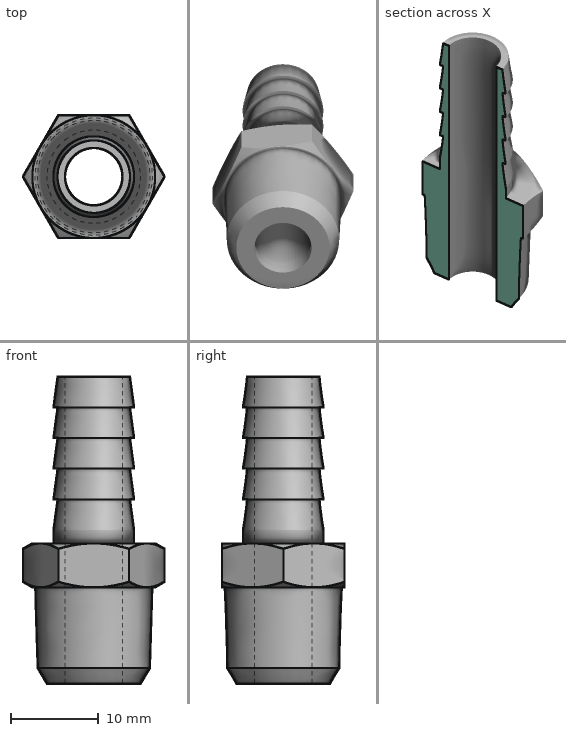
import cadquery as cq
import math

total_height = 35.0
lead_in_height = 1.82
hex_bottom = 11.0
hex_height = 5.0
barb_count = 5
barb_pitch = 3.5
hex_top = hex_bottom + hex_height
barbs_bottom = total_height - barb_count * barb_pitch

bore_diameter = 6.5
barb_large_diameter = 9.2
barb_small_diameter = 8.25
taper_top_diameter = 13.37
taper_bottom_diameter = 12.8
lead_in_diameter = 10.65

across_flats = 14.0
across_corners = across_flats / math.cos(math.radians(30))
corner_chamfer_angle = 30.0
corner_chamfer_width = (across_corners - across_flats) / 2
corner_chamfer_height = corner_chamfer_width * math.tan(math.radians(corner_chamfer_angle))


def revolve_profile(points):
    """Revolve a closed (radius, height) outline about the Z axis."""
    return cq.Workplane("XZ").polyline(points).close().revolve(360, (0, 0), (0, 1))


def tapered_end():
    """Tapered lower body with a conical lead-in."""
    return revolve_profile([
        (0, 0),
        (lead_in_diameter / 2, 0),
        (taper_bottom_diameter / 2, lead_in_height),
        (taper_top_diameter / 2, hex_bottom),
        (0, hex_bottom),
    ])


def hex_collar():
    """Hexagonal prism trimmed by a cone at each end."""
    prism = (
        cq.Workplane("XY")
        .workplane(offset=hex_bottom)
        .polygon(6, across_corners)
        .extrude(hex_height)
    )
    trim = revolve_profile([
        (0, hex_bottom),
        (across_flats / 2, hex_bottom),
        (across_corners / 2, hex_bottom + corner_chamfer_height),
        (across_corners / 2, hex_top - corner_chamfer_height),
        (across_flats / 2, hex_top),
        (0, hex_top),
    ])
    return prism.intersect(trim)


def barbed_stem():
    """Plain neck followed by identical barbs narrowing upwards."""
    points = [(0, hex_top), (barb_large_diameter / 2, hex_top)]
    for index in range(barb_count):
        barb_bottom = barbs_bottom + index * barb_pitch
        points.append((barb_large_diameter / 2, barb_bottom))
        points.append((barb_small_diameter / 2, barb_bottom + barb_pitch))
    points.append((0, total_height))
    return revolve_profile(points)


bore = cq.Workplane("XY").circle(bore_diameter / 2).extrude(total_height)

result = tapered_end().union(hex_collar()).union(barbed_stem()).cut(bore)